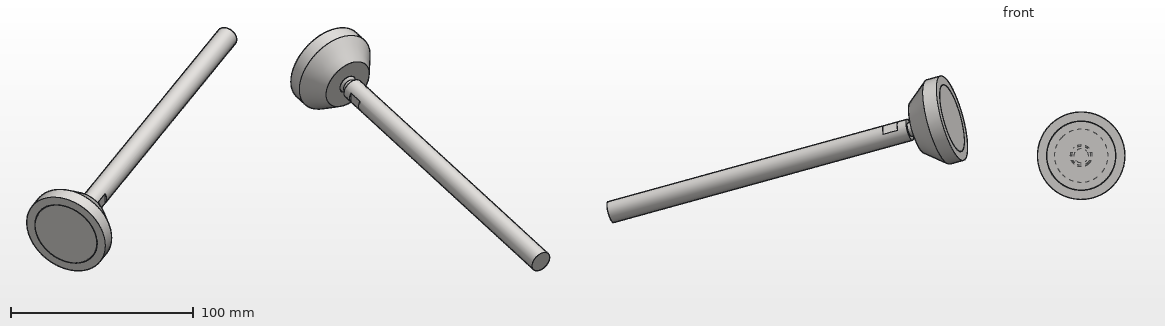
import cadquery as cq
import math

total_length = 200.0

foot_diameter = 48.0
foot_rim_height = 8.0
foot_height = 20.0
foot_top_diameter = 29.2
groove_outer_diameter = 38.0
groove_inner_diameter = 37.5
groove_depth = 1.0

rod_diameter = 12.0
rod_start = 24.8
neck_diameter = 7.8
ball_diameter = 12.0
ball_sink = 3.0
flat_start = 30.0
flat_length = 8.5
across_flats = 10.0

ball_center = foot_height - ball_sink


def revolve_about_y(profile):
    return profile.close().revolve(360, (0, 0, 0), (0, 1, 0))


def make_ball():
    return cq.Workplane("XY").sphere(ball_diameter / 2).translate((0, ball_center, 0))


def make_foot():
    body = revolve_about_y(
        cq.Workplane("XY")
        .lineTo(foot_diameter / 2, 0)
        .lineTo(foot_diameter / 2, foot_rim_height)
        .lineTo(foot_top_diameter / 2, foot_height)
        .lineTo(0, foot_height)
    )
    groove = (
        cq.Workplane("XZ")
        .circle(groove_outer_diameter / 2)
        .circle(groove_inner_diameter / 2)
        .extrude(-groove_depth)
    )
    return body.cut(groove).cut(make_ball())


def make_spindle():
    ball_radius = ball_diameter / 2
    neck_radius = neck_diameter / 2
    neck_start = ball_center + math.sqrt(ball_radius**2 - neck_radius**2)
    body = revolve_about_y(
        cq.Workplane("XY")
        .moveTo(0, ball_center - ball_radius)
        .threePointArc((ball_radius, ball_center), (neck_radius, neck_start))
        .lineTo(neck_radius, rod_start)
        .lineTo(rod_diameter / 2, rod_start)
        .lineTo(rod_diameter / 2, total_length)
        .lineTo(0, total_length)
    )
    flat_center = flat_start + flat_length / 2
    for side in (-1, 1):
        cutter = (
            cq.Workplane("XY")
            .box(rod_diameter, flat_length, rod_diameter)
            .translate((side * (across_flats + rod_diameter) / 2, flat_center, 0))
        )
        body = body.cut(cutter)
    return body


foot = make_foot()
spindle = make_spindle()

result = cq.Compound.makeCompound([foot.val(), spindle.val()])